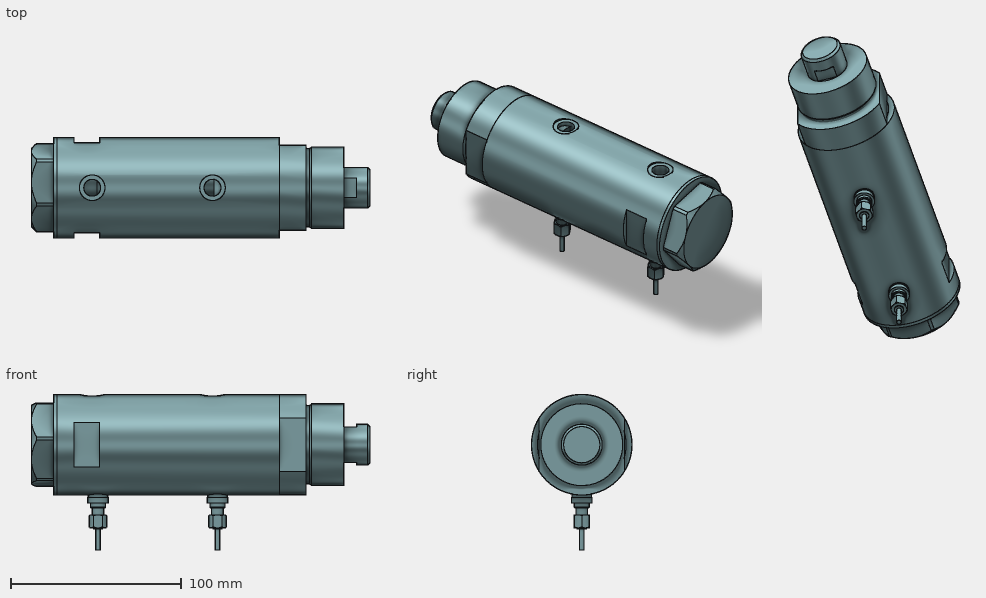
import cadquery as cq
import math


hex_length = 13.0
flange_thickness = 2.0
barrel_start = hex_length + flange_thickness
piston_start = 38.5
piston_length = 25.0
gland_start = 106.9
barrel_end = 145.3
collar_end = 160.9
nose_end = 183.0
rod_end = 198.42

barrel_diameter = 59.0
bore_diameter = 40.0
gland_diameter = 52.0
barrel_flats_width = 53.0
barrel_flat_start = 25.0
barrel_flat_length = 15.0
port_diameter = 9.9
port_spotface_diameter = 15.0
port_spotface_depth = 1.0
port_start = 35.6
port_spacing = 70.5

hex_across_flats = 46.0
hex_corner_diameter = 52.0
hex_tilt = 8.0
spigot_diameter = 36.0

head_flats_width = 50.0
nose_diameter = 48.0
nose_chamfer = 1.2
groove_diameter = 46.0
groove_floor_width = 1.6
groove_fillet = 0.5

rod_diameter = 24.0
rod_chamfer = 1.4
rod_flats_width = 21.0
rod_flat_length = 7.5

sensor_start = 39.0
sensor_spacing = 70.0
sensor_seat_depth = 2.5
shank_diameter = 11.5
shank_bottom = -30.8
sensor_body_diameter = 12.2
sensor_body_bottom = -34.3
shoulder_diameter = 9.0
shoulder_bottom = -37.0
shoulder_chamfer = 0.5
neck_diameter = 7.0
nut_top = -41.1
nut_bottom = -48.7
nut_across_flats = 9.0
nut_chamfer = 0.6
sleeve_diameter = 5.5
sleeve_bottom = -49.3
cable_diameter = 2.7
overall_height = 91.3

barrel_radius = barrel_diameter / 2
cable_bottom = barrel_radius - overall_height
seat_top = -barrel_radius + sensor_seat_depth
sensor_places = [sensor_start, sensor_start + sensor_spacing]
port_places = [port_start, port_start + port_spacing]


def rod_along_x(diameter, start, end):
    """Round bar on the cylinder axis from start to end."""
    return cq.Workplane("YZ", origin=(start, 0, 0)).circle(diameter / 2).extrude(end - start)


def rod_along_z(diameter, x, bottom, top):
    """Round bar parallel to Z, in the plane Y = 0."""
    return cq.Workplane("XY", origin=(x, 0, bottom)).circle(diameter / 2).extrude(top - bottom)


def slab(start, end, width, along_y):
    """Block between two X stations, width thick in Y or in Z and oversize the other way."""
    oversize = 2 * barrel_diameter
    size_y = width if along_y else oversize
    size_z = oversize if along_y else width
    return cq.Workplane("XY").box(end - start, size_y, size_z).translate(((start + end) / 2, 0, 0))


def with_flats(bar, start, end, width, along_y=True):
    """Cut two opposite flats on a bar between two X stations."""
    stretch = rod_along_x(barrel_diameter, start, end)
    return bar.cut(stretch.cut(slab(start, end, width, along_y)))


def hexagon_diameter(across_flats):
    """Diameter across the corners of a regular hexagon."""
    return across_flats / math.cos(math.radians(30))


def make_barrel():
    barrel = rod_along_x(barrel_diameter, barrel_start, barrel_end)
    barrel = with_flats(barrel, barrel_flat_start, barrel_flat_start + barrel_flat_length, barrel_flats_width)
    spotface_floor = barrel_radius - port_spotface_depth
    for x in port_places:
        barrel = barrel.cut(rod_along_z(port_spotface_diameter, x, spotface_floor, barrel_radius))
        barrel = barrel.cut(rod_along_z(port_diameter, x, 0, barrel_radius))
    for x in sensor_places:
        barrel = barrel.cut(rod_along_z(shank_diameter, x, shank_bottom, seat_top))
    barrel = barrel.cut(rod_along_x(bore_diameter, barrel_start, gland_start))
    return barrel.cut(rod_along_x(gland_diameter, gland_start, barrel_end))


def make_cap():
    hexagon = (
        cq.Workplane("YZ")
        .polygon(6, hexagon_diameter(hex_across_flats))
        .extrude(hex_length)
        .rotate((0, 0, 0), (1, 0, 0), -hex_tilt)
    )
    bevel = (hex_corner_diameter - hex_across_flats) / 2
    turned_blank = rod_along_x(hex_corner_diameter, 0, hex_length).faces("<X").chamfer(bevel)
    flange = rod_along_x(barrel_diameter, hex_length, barrel_start)
    spigot = rod_along_x(spigot_diameter, barrel_start, piston_start)
    return hexagon.intersect(turned_blank).union(flange).union(spigot)


def make_head():
    guide = rod_along_x(gland_diameter, gland_start, barrel_end)
    collar = rod_along_x(barrel_diameter, barrel_end, collar_end)
    collar = with_flats(collar, barrel_end, collar_end, head_flats_width)
    groove_radius = groove_diameter / 2
    nose_radius = nose_diameter / 2
    chamfer_start = collar_end + groove_fillet + groove_floor_width
    fillet_mid = groove_fillet * (1 - math.sin(math.radians(45)))
    nose = (
        cq.Workplane("XY")
        .moveTo(collar_end, 0)
        .lineTo(collar_end, groove_radius + groove_fillet)
        .threePointArc(
            (collar_end + fillet_mid, groove_radius + fillet_mid),
            (collar_end + groove_fillet, groove_radius),
        )
        .lineTo(chamfer_start, groove_radius)
        .lineTo(chamfer_start + nose_chamfer, nose_radius)
        .lineTo(nose_end, nose_radius)
        .lineTo(nose_end, 0)
        .close()
        .revolve(360, (0, 0, 0), (1, 0, 0))
    )
    return guide.union(collar).union(nose).cut(rod_along_x(rod_diameter, gland_start, nose_end))


def make_piston_rod():
    piston_end = piston_start + piston_length
    piston = rod_along_x(bore_diameter, piston_start, piston_end)
    rod = rod_along_x(rod_diameter, piston_end, rod_end).faces(">X").chamfer(rod_chamfer)
    rod = with_flats(rod, nose_end, nose_end + rod_flat_length, rod_flats_width, along_y=False)
    return piston.union(rod)


def make_sensor(x):
    shank = rod_along_z(shank_diameter, x, shank_bottom, seat_top)
    body = rod_along_z(sensor_body_diameter, x, sensor_body_bottom, shank_bottom)
    shoulder = rod_along_z(shoulder_diameter, x, shoulder_bottom, sensor_body_bottom)
    shoulder = shoulder.faces("<Z").chamfer(shoulder_chamfer)
    neck = rod_along_z(neck_diameter, x, nut_top, shoulder_bottom)
    corner_diameter = hexagon_diameter(nut_across_flats)
    nut = (
        cq.Workplane("XY", origin=(x, 0, nut_bottom))
        .polygon(6, corner_diameter)
        .extrude(nut_top - nut_bottom)
        .intersect(rod_along_z(corner_diameter, x, nut_bottom, nut_top).faces("|Z").chamfer(nut_chamfer))
    )
    sleeve = rod_along_z(sleeve_diameter, x, sleeve_bottom, nut_bottom)
    cable = rod_along_z(cable_diameter, x, cable_bottom, sleeve_bottom)
    sensor = shank
    for piece in (body, shoulder, neck, nut, sleeve, cable):
        sensor = sensor.union(piece)
    return sensor


barrel = make_barrel()
cap = make_cap()
head = make_head()
piston_rod = make_piston_rod()
sensors = [make_sensor(x) for x in sensor_places]

result = cq.Compound.makeCompound(
    [barrel.val(), cap.val(), head.val(), piston_rod.val(), *[sensor.val() for sensor in sensors]]
)